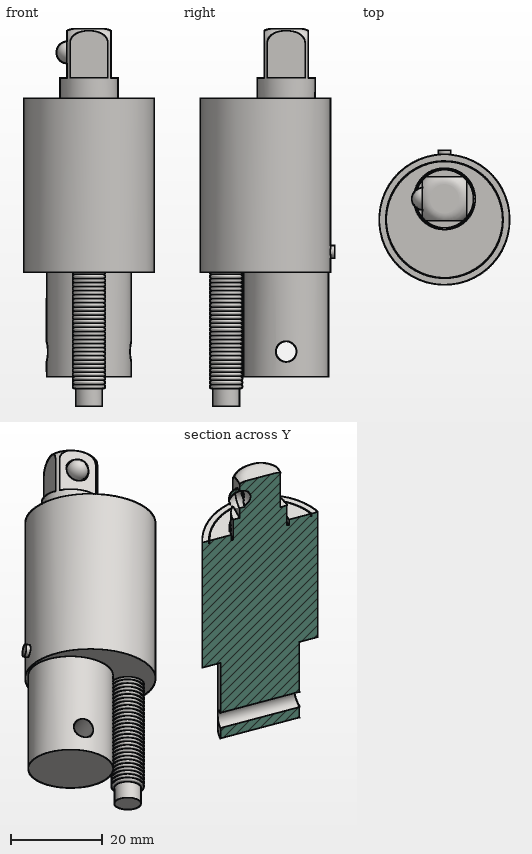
import cadquery as cq

TOTAL_HEIGHT = 82.55

BARREL_DIAMETER = 28.6
BARREL_BOTTOM = 29.3
BARREL_TOP = 67.4
LID_DIAMETER = 25.4
LID_BORE_DIAMETER = 25.7
LID_GAP_DEPTH = 0.8

SHAFT_OFFSET_Y = 4.5
COLLAR_DIAMETER = 12.7
COLLAR_BORE_DIAMETER = 13.45
COLLAR_GAP_DEPTH = 1.65
COLLAR_TOP = 71.8
SQUARE_WIDTH = 9.65
DOME_RADIUS = 3.1

BALL_DIAMETER = 4.9
BALL_PROTRUSION = 2.3
BALL_BELOW_TOP = 5.2
BALL_POCKET_DIAMETER = 5.1
BALL_POCKET_DEPTH = 1.2

SOCKET_DIAMETER = 18.6
SOCKET_BOTTOM = 6.4
CROSS_HOLE_DIAMETER = 4.45
CROSS_HOLE_HEIGHT = 12.0

HOSE_OFFSET_Y = -8.6
HOSE_DIAMETER = 5.9
SPRING_DIAMETER = 7.2
SPRING_BOTTOM = 3.9
SPRING_TOP = 29.7
COIL_COUNT = 29
COIL_PITCH = (SPRING_TOP - SPRING_BOTTOM) / COIL_COUNT
COIL_BULGE = 0.4

PIN_DIAMETER = 2.8
PIN_HEIGHT = 33.8
PIN_PROTRUSION = 0.9


def cylinder(diameter, bottom, top, offset_y=0.0):
    """Upright cylinder between two heights, shifted along Y."""
    return cq.Workplane("XY", origin=(0, offset_y, bottom)).circle(diameter / 2).extrude(top - bottom)


def ring(outer_diameter, inner_diameter, depth, offset_y=0.0):
    """Annular gap cut down from the top face of the barrel."""
    outline = cq.Workplane("XY", origin=(0, offset_y, BARREL_TOP))
    return outline.circle(outer_diameter / 2).circle(inner_diameter / 2).extrude(-depth)


def make_barrel():
    barrel = cylinder(BARREL_DIAMETER, BARREL_BOTTOM, BARREL_TOP)
    lid_gap = ring(LID_BORE_DIAMETER, LID_DIAMETER, LID_GAP_DEPTH)
    collar_gap = ring(COLLAR_BORE_DIAMETER, COLLAR_DIAMETER, COLLAR_GAP_DEPTH, SHAFT_OFFSET_Y)
    return barrel.cut(lid_gap).cut(collar_gap)


def make_drive_shaft():
    collar = cylinder(COLLAR_DIAMETER, BARREL_TOP - COLLAR_GAP_DEPTH, COLLAR_TOP, SHAFT_OFFSET_Y)

    domed_bar = cylinder(COLLAR_DIAMETER, COLLAR_TOP, TOTAL_HEIGHT, SHAFT_OFFSET_Y)
    domed_bar = domed_bar.faces(">Z").edges().fillet(DOME_RADIUS)
    square = (
        cq.Workplane("XY", origin=(0, SHAFT_OFFSET_Y, COLLAR_TOP))
        .rect(SQUARE_WIDTH, SQUARE_WIDTH)
        .extrude(TOTAL_HEIGHT - COLLAR_TOP)
        .intersect(domed_bar)
    )

    face_x = -SQUARE_WIDTH / 2
    ball_z = TOTAL_HEIGHT - BALL_BELOW_TOP
    pocket = (
        cq.Workplane("YZ", origin=(face_x, SHAFT_OFFSET_Y, ball_z))
        .circle(BALL_POCKET_DIAMETER / 2)
        .extrude(BALL_POCKET_DEPTH)
    )
    ball_x = face_x - BALL_PROTRUSION + BALL_DIAMETER / 2
    ball = cq.Workplane("XY", origin=(ball_x, SHAFT_OFFSET_Y, ball_z)).sphere(BALL_DIAMETER / 2)
    return collar.union(square.cut(pocket).union(ball))


def make_socket():
    socket = cylinder(SOCKET_DIAMETER, SOCKET_BOTTOM, BARREL_BOTTOM, SHAFT_OFFSET_Y)
    cross_hole = (
        cq.Workplane("YZ", origin=(0, SHAFT_OFFSET_Y, CROSS_HOLE_HEIGHT))
        .circle(CROSS_HOLE_DIAMETER / 2)
        .extrude(SOCKET_DIAMETER, both=True)
    )
    return socket.cut(cross_hole)


def make_hose():
    hose = cylinder(HOSE_DIAMETER, 0, BARREL_BOTTOM, HOSE_OFFSET_Y)

    crest_radius = SPRING_DIAMETER / 2
    root_radius = crest_radius - COIL_BULGE
    profile = cq.Workplane("XZ", origin=(0, HOSE_OFFSET_Y, 0))
    profile = profile.moveTo(0, SPRING_BOTTOM).lineTo(root_radius, SPRING_BOTTOM)
    for coil in range(COIL_COUNT):
        coil_bottom = SPRING_BOTTOM + coil * COIL_PITCH
        profile = profile.threePointArc(
            (crest_radius, coil_bottom + COIL_PITCH / 2),
            (root_radius, coil_bottom + COIL_PITCH),
        )
    spring = profile.lineTo(0, SPRING_TOP).close().revolve(360, (0, 0, 0), (0, 1, 0))
    return hose.union(spring)


def make_pin():
    """Radial pin from the barrel axis out through the +Y side."""
    length = BARREL_DIAMETER / 2 + PIN_PROTRUSION
    return cq.Workplane("XZ", origin=(0, 0, PIN_HEIGHT)).circle(PIN_DIAMETER / 2).extrude(-length)


result = make_barrel()
for piece in (make_drive_shaft(), make_socket(), make_hose(), make_pin()):
    result = result.union(piece)